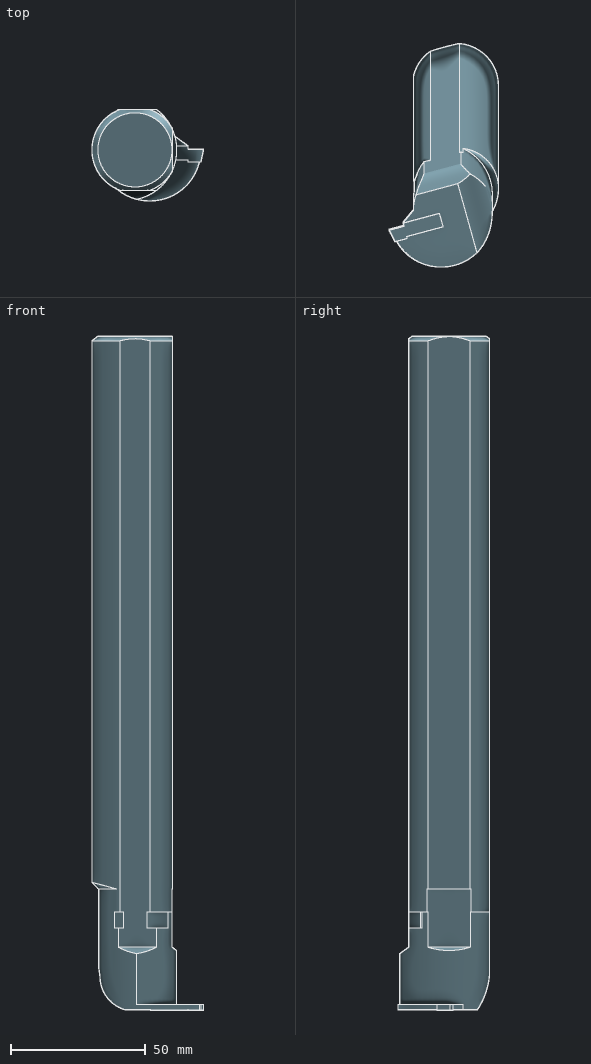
import cadquery as cq

bar_length = 250.0
shank_radius = 16.0
side_flat = 15.0
right_flat = 14.0
end_chamfer_width = 2.2
end_chamfer_height = 1.8

head_radius = 19.0
head_offset = 5.5
relief_radius = 18.8
relief_offset = -3.2
head_flat = 13.8
head_top = 45.0
neck_cone_height = 12.5
blend_top = 36.5
blend_bottom = 30.5
shoulder_top = 23.5
shoulder_depth = 6.0
shoulder_angle = 54.0

bar_bottom = 0.2
plate_top = 2.2
plate_edge_x = 13.5
plate_edge_y = 6.0
insert_back = 5.8
insert_tip = 25.5
insert_low = -3.8
insert_high = 1.5
tip_heel = 24.5
tip_low = -4.5
tip_high = 0.2
tip_start = 19.8

blend_facets = [
    ((-7.5, -13.8), (-4.2, -side_flat)),
    ((12.2, -10.0), (4.5, -side_flat)),
]

left_relief_top = (-13.5, 16.2)
left_relief_start = (-13.0, 12.5)
left_relief_middle = (-10.5, 5.0)
left_relief_end = -3.8
back_relief_top = 13.0
back_relief_middle = (13.5, 6.2)
back_relief_end = 10.5

below = -2.5
big = 100.0


def disc(radius, center_x, bottom, top):
    return cq.Workplane("XY", origin=(center_x, 0, bottom)).circle(radius).extrude(top - bottom)


def flats_outline(plane, right):
    """Rectangle bounded by the side flats and a +X flat, open on the -X side."""
    return plane.center((right - big) / 2, 0).rect(right + big, 2 * side_flat)


def make_shank():
    shank = disc(shank_radius, 0, blend_top, bar_length)
    core = flats_outline(cq.Workplane("XY", origin=(0, 0, blend_top)), right_flat).extrude(bar_length)
    end_radius = shank_radius - end_chamfer_width
    envelope = (
        cq.Workplane("XZ")
        .moveTo(0, blend_top)
        .lineTo(shank_radius, blend_top)
        .lineTo(shank_radius, bar_length - end_chamfer_height)
        .lineTo(end_radius, bar_length)
        .lineTo(0, bar_length)
        .close()
        .revolve(360, (0, 0, 0), (0, 1, 0))
    )
    neck = disc(head_radius, head_offset, blend_top, head_top)
    cone = (
        cq.Workplane("XY", origin=(head_offset, 0, head_top))
        .circle(head_radius)
        .workplane(offset=neck_cone_height)
        .circle(head_radius + neck_cone_height)
        .loft()
    )
    above = disc(big, 0, head_top + neck_cone_height, bar_length)
    neck_core = flats_outline(cq.Workplane("XY", origin=(0, 0, blend_top)), head_flat)
    neck = neck.intersect(neck_core.extrude(head_top - blend_top))
    return shank.intersect(core).intersect(envelope).intersect(neck.union(cone).union(above))


def make_head():
    head = disc(head_radius, head_offset, bar_bottom, blend_top)
    head = head.intersect(disc(relief_radius, relief_offset, bar_bottom, blend_top))
    section = flats_outline(cq.Workplane("XY", origin=(0, 0, shoulder_top)), head_flat)
    core = section.extrude(blend_top - shoulder_top)
    section = flats_outline(cq.Workplane("XY", origin=(0, 0, shoulder_top)), head_flat)
    shoulder = section.extrude(-shoulder_depth, taper=-shoulder_angle)
    base = disc(big, 0, bar_bottom, shoulder_top - shoulder_depth)
    head = head.intersect(core.union(shoulder).union(base))
    back = cq.Workplane("XY").center(0, side_flat + big / 2).rect(big, big).extrude(blend_top)
    return head.cut(back)


def blend_facet(arc_point, flat_point):
    """Cutter for a short planar facet across the edge of the -Y flat."""
    outside_y = -big
    return (
        cq.Workplane("XY", origin=(0, 0, blend_bottom))
        .polyline([arc_point, flat_point, (flat_point[0], outside_y), (arc_point[0], outside_y)])
        .close()
        .extrude(blend_top - blend_bottom)
    )


def make_plate():
    """Thin seat plate, trimmed by a sloping edge on its +Y side."""
    trim = (
        cq.Workplane("XY", origin=(0, 0, bar_bottom))
        .moveTo(0, -big)
        .lineTo(big, -big)
        .lineTo(big, tip_high)
        .lineTo(tip_start, tip_high)
        .lineTo(tip_start, insert_high)
        .lineTo(plate_edge_x, plate_edge_y)
        .lineTo(0, plate_edge_y)
        .close()
        .extrude(plate_top - bar_bottom)
    )
    return disc(head_radius, head_offset, bar_bottom, plate_top).intersect(trim)


def left_corner_cutter():
    """Rounded relief along the bottom of the -X side, with a short steep lead-in."""
    return (
        cq.Workplane("XZ", origin=(0, big / 2, 0))
        .moveTo(*left_relief_top)
        .lineTo(*left_relief_start)
        .threePointArc(left_relief_middle, (left_relief_end, bar_bottom))
        .lineTo(left_relief_end, below)
        .lineTo(-big, below)
        .lineTo(-big, left_relief_top[1])
        .close()
        .extrude(big)
    )


def back_corner_cutter():
    """Shallow curved relief along the bottom of the +Y side."""
    return (
        cq.Workplane("YZ", origin=(-big / 2, 0, 0))
        .moveTo(side_flat, back_relief_top)
        .threePointArc(back_relief_middle, (back_relief_end, bar_bottom))
        .lineTo(back_relief_end, below)
        .lineTo(big, below)
        .lineTo(big, back_relief_top)
        .close()
        .extrude(big)
    )


def make_insert():
    """Flat blade with a wider cutting tip at its +X end."""
    return (
        cq.Workplane("XY")
        .polyline([
            (insert_back, insert_low),
            (tip_start, insert_low),
            (tip_start, tip_low),
            (tip_heel, tip_low),
            (insert_tip, tip_high),
            (tip_start, tip_high),
            (tip_start, insert_high),
            (insert_back, insert_high),
        ])
        .close()
        .extrude(plate_top)
    )


insert = make_insert()
bar = make_shank().union(make_head())
for arc_point, flat_point in blend_facets:
    bar = bar.cut(blend_facet(arc_point, flat_point))
bar = bar.union(make_plate())
bar = bar.cut(left_corner_cutter()).cut(back_corner_cutter()).cut(insert)

result = cq.Compound.makeCompound([bar.val(), insert.val()])